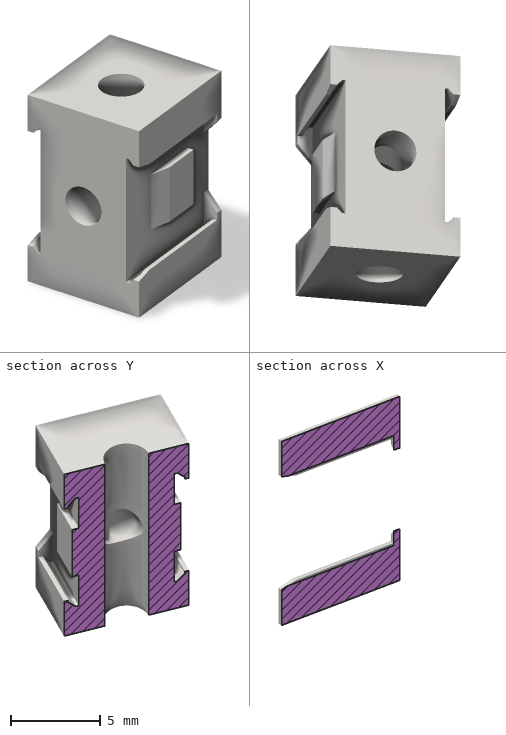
import cadquery as cq

WIDTH = 7.5
LENGTH = 8.3
HEIGHT = 12
FRONT = -LENGTH / 2
BACK = LENGTH / 2
OUTER = WIDTH / 2

CHANNEL_DEPTH = 0.88
MOUTH_HALF_HEIGHT = 3.41
LIP_THICKNESS = 0.26
UNDERCUT_HALF_HEIGHT = 3.98
UNDERCUT_CHAMFER = 0.43
LEAD_IN_RISE = 0.26
LEAD_IN_LENGTH = 1.03
FLOOR = OUTER - CHANNEL_DEPTH

STOP_THICKNESS = 0.45
STOP_OUTER_Z = 2.94
STOP_INNER_Z = 1.91

LATCH_HEIGHT = 3.5
LATCH_RISE = 0.4
LATCH_START = FRONT + 2.45
LATCH_LENGTH = 3.77
LATCH_RAMP = 1.37

VERTICAL_HOLE_DIAMETER = 2.6
VERTICAL_HOLE_Y = FRONT + 3.82
CROSS_HOLE_DIAMETER = 2.42


def extrude_back(profile, start, length):
    """Extrude an XZ profile from y = start towards +Y."""
    return profile.extrude(-length).translate((0, start, 0))


def channel():
    """Undercut channel cutter on the +X side, with its flared front mouth."""
    lip = OUTER - LIP_THICKNESS
    roof_end = lip - UNDERCUT_CHAMFER
    chamfer_z = UNDERCUT_HALF_HEIGHT - UNDERCUT_CHAMFER
    profile = cq.Workplane("XZ").polyline([
        (FLOOR, -UNDERCUT_HALF_HEIGHT),
        (roof_end, -UNDERCUT_HALF_HEIGHT),
        (lip, -chamfer_z),
        (lip, -MOUTH_HALF_HEIGHT),
        (OUTER, -MOUTH_HALF_HEIGHT),
        (OUTER, MOUTH_HALF_HEIGHT),
        (lip, MOUTH_HALF_HEIGHT),
        (lip, chamfer_z),
        (roof_end, UNDERCUT_HALF_HEIGHT),
        (FLOOR, UNDERCUT_HALF_HEIGHT),
    ]).close()
    flare_half_height = MOUTH_HALF_HEIGHT + LEAD_IN_RISE
    lead_in = (
        cq.Workplane("YZ", origin=(FLOOR, 0, 0))
        .moveTo(FRONT, -flare_half_height)
        .lineTo(FRONT + LEAD_IN_LENGTH, -MOUTH_HALF_HEIGHT)
        .lineTo(FRONT + LEAD_IN_LENGTH, MOUTH_HALF_HEIGHT)
        .lineTo(FRONT, flare_half_height)
        .close()
        .extrude(CHANNEL_DEPTH)
    )
    return extrude_back(profile, FRONT, LENGTH).union(lead_in)


def stop(side):
    """Back stop on the +X side, above (side = 1) or below (side = -1) the middle."""
    profile = cq.Workplane("XZ").polyline([
        (FLOOR, side * STOP_INNER_Z),
        (OUTER, side * STOP_OUTER_Z),
        (OUTER, side * UNDERCUT_HALF_HEIGHT),
        (FLOOR, side * UNDERCUT_HALF_HEIGHT),
    ]).close()
    return extrude_back(profile, BACK - STOP_THICKNESS, STOP_THICKNESS)


def latch():
    """Latch on the +X channel floor, rising from the front."""
    return (
        cq.Workplane("XY", origin=(0, 0, -LATCH_HEIGHT / 2))
        .polyline([
            (FLOOR, LATCH_START),
            (FLOOR + LATCH_RISE, LATCH_START + LATCH_RAMP),
            (FLOOR + LATCH_RISE, LATCH_START + LATCH_LENGTH),
            (FLOOR, LATCH_START + LATCH_LENGTH),
        ])
        .close()
        .extrude(LATCH_HEIGHT)
    )


cutter = channel().cut(stop(1)).cut(stop(-1)).cut(latch())

result = cq.Workplane("XY").box(WIDTH, LENGTH, HEIGHT)
result = result.cut(cutter).cut(cutter.mirror("YZ"))

vertical_hole = (
    cq.Workplane("XY", origin=(0, VERTICAL_HOLE_Y, -HEIGHT / 2))
    .circle(VERTICAL_HOLE_DIAMETER / 2)
    .extrude(HEIGHT)
)
cross_hole = extrude_back(cq.Workplane("XZ").circle(CROSS_HOLE_DIAMETER / 2), FRONT, LENGTH)
result = result.cut(vertical_hole).cut(cross_hole)